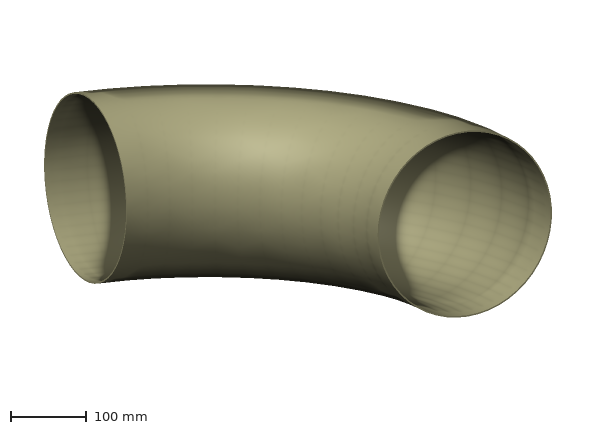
import cadquery as cq

OUTER_DIAMETER = 254.0
WALL = 2.0
BEND_RADIUS = 375.0
BEND_ANGLE = 90.0

outer_radius = OUTER_DIAMETER / 2
inner_radius = outer_radius - WALL


def make_elbow():
    """Sweep the annular pipe section around a vertical axis at X = BEND_RADIUS."""
    section = cq.Workplane("XZ").circle(outer_radius).circle(inner_radius)
    axis_start = (BEND_RADIUS, 0)
    axis_end = (BEND_RADIUS, -1)
    return section.revolve(BEND_ANGLE, axis_start, axis_end)


result = make_elbow()